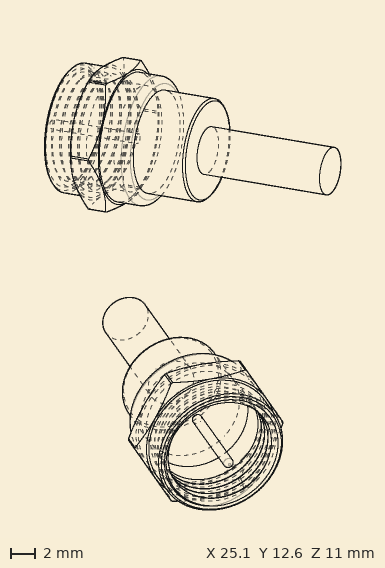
import cadquery as cq
import math

nut_front = 1.98
hex_front = 4.5
hex_back = 7.0
nut_back = 9.51
barrel_back = 14.1
cable_end = 25.1
bore_floor = 7.83

nut_diameter = 10.6
barrel_diameter = 8.43
cable_diameter = 3.9
pin_diameter = 0.8

hex_sides = 6
hex_across_flats = 11.0
hex_corner_diameter = 12.6
hex_chamfer_angle = 30

nut_front_chamfer = 0.18
nut_back_fillet = 0.55
barrel_chamfer = 0.18
pin_tip_fillet = 0.3

thread_major_diameter = 9.65
thread_minor_diameter = 8.65
mouth_diameter = 9.7
mouth_depth = 0.25
thread_pitch = 0.8
thread_turns = 5
thread_lead_in = 0.48
thread_start_angle = 150
thread_crest_width = 0.05
cutter_overlap = 0.013


def cylinder(x_start, x_end, diameter):
    """Solid cylinder on the X axis."""
    return cq.Workplane("YZ", origin=(x_start, 0, 0)).circle(diameter / 2).extrude(x_end - x_start)


def make_hexagon():
    """Hexagonal wrench section with its corners turned down and chamfered at both ends."""
    corner_to_corner = hex_across_flats / math.cos(math.pi / hex_sides)
    prism = (
        cq.Workplane("YZ", origin=(hex_front, 0, 0))
        .polygon(hex_sides, corner_to_corner)
        .extrude(hex_back - hex_front)
    )
    chamfer_height = (hex_corner_diameter - hex_across_flats) / 2
    chamfer_length = chamfer_height * math.tan(math.radians(hex_chamfer_angle))
    turned_blank = (
        cylinder(hex_front, hex_back, hex_corner_diameter)
        .edges("%CIRCLE")
        .chamfer(chamfer_length, chamfer_height)
    )
    return prism.intersect(turned_blank)


def make_bore():
    """Blind bore with a conical mouth."""
    return (
        cq.Workplane("XY")
        .moveTo(nut_front, 0)
        .lineTo(nut_front, mouth_diameter / 2)
        .lineTo(nut_front + mouth_depth, thread_minor_diameter / 2)
        .lineTo(bore_floor, thread_minor_diameter / 2)
        .lineTo(bore_floor, 0)
        .close()
        .revolve(360, (0, 0, 0), (1, 0, 0))
    )


def make_thread_groove():
    """Helical V groove along the bore wall, built on Z and laid onto X."""
    wall_radius = thread_minor_diameter / 2 - cutter_overlap
    tip_radius = thread_major_diameter / 2
    groove_depth = (thread_major_diameter - thread_minor_diameter) / 2
    wall_half_width = (thread_pitch - thread_crest_width) / 2
    half_width = wall_half_width * (groove_depth + cutter_overlap) / groove_depth
    helix = cq.Wire.makeHelix(thread_pitch, thread_pitch * thread_turns, wall_radius)
    groove = (
        cq.Workplane("XZ")
        .polyline([(wall_radius, -half_width), (tip_radius, 0), (wall_radius, half_width)])
        .close()
        .sweep(cq.Workplane(obj=helix), isFrenet=True)
    )
    groove = groove.rotate((0, 0, 0), (0, 0, 1), thread_start_angle)
    return groove.rotate((0, 0, 0), (0, 1, 0), 90).translate((nut_front - thread_lead_in, 0, 0))


def make_housing():
    """Threaded nut, barrel and cable stub."""
    nut = (
        cylinder(nut_front, nut_back, nut_diameter)
        .faces("<X").chamfer(nut_front_chamfer)
        .faces(">X").edges().fillet(nut_back_fillet)
    )
    barrel = cylinder(nut_back, barrel_back, barrel_diameter).faces(">X").chamfer(barrel_chamfer)
    cable = cylinder(barrel_back, cable_end, cable_diameter)
    outside = nut.union(make_hexagon()).union(barrel).union(cable)
    return outside.cut(make_bore()).cut(make_thread_groove())


def make_pin():
    """Centre contact with a rounded tip, standing on the bore floor."""
    return cylinder(0, bore_floor, pin_diameter).faces("<X").edges().fillet(pin_tip_fillet)


housing = make_housing()
pin = make_pin()
result = cq.Compound.makeCompound([housing.val(), pin.val()])